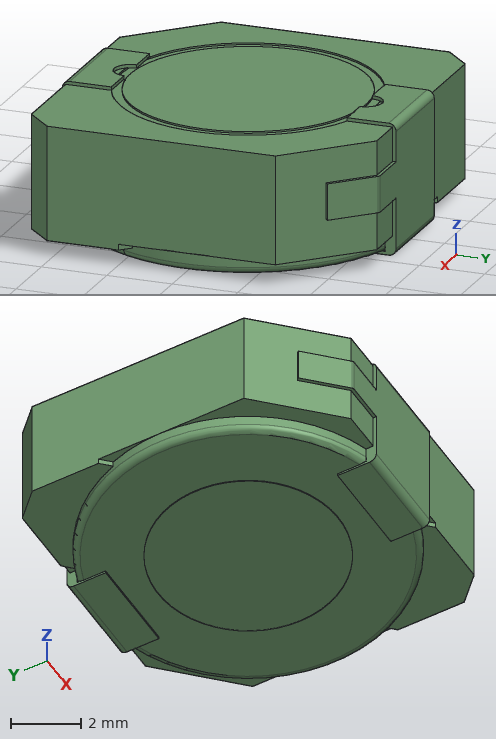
import cadquery as cq
import math

height = 4.0
body_width = 10.0
plate = 0.1
half_body = body_width / 2
half_depth = half_body + plate

body_top = height - plate
body_bottom = 0.6
small_chamfer = 0.79
large_chamfer = 2.23
chamfer_angle = 45

groove_outer_diameter = 7.8
groove_inner_diameter = 7.2
groove_depth = 0.05

base_bottom = 0.07
base_round = 0.2
boss_diameter = 5.95
boss_bottom = 0.04
pad_bottom = 0.43
pad_strip_width = 4.2

terminal_width = 3.02
terminal_bend = 0.22
top_foot_end = groove_inner_diameter / 2
bottom_foot_length = 1.28
notch_radius = 0.49
arm_bottom = 1.75
arm_top = 2.86

flat_distance = math.sqrt(half_body**2 - (terminal_width / 2) ** 2)


def body_outline():
    """Square with two large and two small opposite corner chamfers."""
    small_corner = half_body - small_chamfer
    large_corner = half_body - large_chamfer
    half_outline = [
        (-large_corner, -half_body),
        (small_corner, -half_body),
        (half_body, -small_corner),
        (half_body, large_corner),
    ]
    opposite_half = [(-x, -y) for x, y in half_outline]
    return cq.Workplane("XY").polyline(half_outline + opposite_half).close()


def make_body():
    block = body_outline().extrude(body_top - body_bottom).translate((0, 0, body_bottom))
    groove = (
        cq.Workplane("XY", origin=(0, 0, body_top - groove_depth))
        .circle(groove_outer_diameter / 2)
        .circle(groove_inner_diameter / 2)
        .extrude(groove_depth)
    )
    return block.cut(groove)


def make_corner_pads():
    """Lower steps of the body at the two corners with small chamfers, outside the base disc."""
    pad_height = body_bottom - pad_bottom
    strip = (
        cq.Workplane("XY")
        .rect(2 * body_width, pad_strip_width)
        .extrude(pad_height)
        .rotate((0, 0, 0), (0, 0, 1), -chamfer_angle)
    )
    return body_outline().extrude(pad_height).intersect(strip).translate((0, 0, pad_bottom))


def make_base():
    """Rounded disc with flats facing the terminals, and a low boss underneath."""
    disc = (
        cq.Workplane("XY", origin=(0, 0, base_bottom))
        .circle(half_body)
        .extrude(body_bottom - base_bottom)
        .faces("<Z")
        .edges()
        .fillet(base_round)
    )
    between_flats = cq.Workplane("XY").box(
        body_width, 2 * flat_distance, body_bottom, centered=(True, True, False)
    )
    boss = (
        cq.Workplane("XY", origin=(0, 0, boss_bottom))
        .circle(boss_diameter / 2)
        .extrude(body_bottom - boss_bottom)
    )
    return disc.intersect(between_flats).union(boss)


def make_clip():
    """C-shaped clip at -Y, folded over and under the body and thickened below it to meet the base."""
    bottom_foot_end = half_depth - bottom_foot_length
    clip = (
        cq.Workplane("YZ")
        .moveTo(-bottom_foot_end, 0)
        .lineTo(-half_depth, 0)
        .lineTo(-half_depth, height)
        .lineTo(-top_foot_end, height)
        .lineTo(-top_foot_end, body_top)
        .lineTo(-half_body, body_top)
        .lineTo(-half_body, body_bottom)
        .lineTo(-flat_distance, body_bottom)
        .lineTo(-flat_distance, plate)
        .lineTo(-bottom_foot_end, plate)
        .close()
        .extrude(terminal_width / 2, both=True)
    )
    clip = clip.faces("<Y").edges("|X").fillet(terminal_bend)
    notch = (
        cq.Workplane("XY", origin=(0, -top_foot_end, body_top))
        .circle(notch_radius)
        .extrude(plate)
    )
    return clip.cut(notch)


def make_arm():
    """Side arm of the -Y terminal, bent around the corner onto the large chamfer."""
    bend_x = half_body - large_chamfer
    tip = half_body - large_chamfer / 2
    diagonal = plate * math.sin(math.radians(chamfer_angle))
    mid_x = plate * math.sin(math.radians(chamfer_angle / 2))
    mid_y = plate * math.cos(math.radians(chamfer_angle / 2))
    return (
        cq.Workplane("XY", origin=(0, 0, arm_bottom))
        .moveTo(0, -half_body)
        .lineTo(0, -half_depth)
        .lineTo(-bend_x, -half_depth)
        .threePointArc(
            (-bend_x - mid_x, -half_body - mid_y),
            (-bend_x - diagonal, -half_body - diagonal),
        )
        .lineTo(-tip - diagonal, -tip - diagonal)
        .lineTo(-tip, -tip)
        .lineTo(-bend_x, -half_body)
        .close()
        .extrude(arm_top - arm_bottom)
    )


result = make_body().union(make_corner_pads()).union(make_base())

terminal = make_clip().union(make_arm())
for turn in (0, 180):
    result = result.union(terminal.rotate((0, 0, 0), (0, 0, 1), turn))